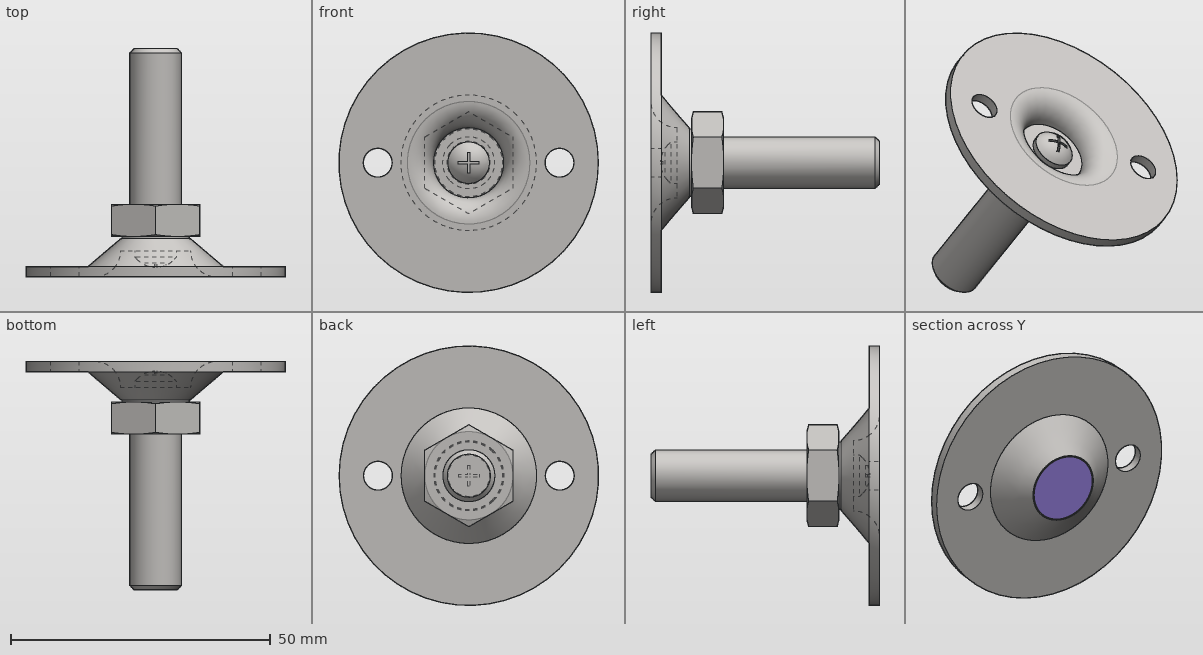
import cadquery as cq
import math

plate_diameter = 50
plate_thickness = 2
mounting_hole_diameter = 5.5
mounting_hole_spacing = 35

hub_base_diameter = 26.1
hub_top_diameter = 13.4
hub_top = 7.4
neck_diameter = 13

nut_width = 17
nut_height = 6.2
nut_start = 7.8
nut_face_diameter = 17
nut_chamfer_angle = 15
nut_end = nut_start + nut_height
nut_corner_diameter = nut_width / math.cos(math.radians(30))

stud_diameter = 10
stud_end = 44
stud_chamfer_length = 0.9
stud_tip_diameter = 8.3

recess_mouth_diameter = 23.6
recess_floor_diameter = 13.5
recess_depth = 5

head_diameter = 8
head_rim_height = 1.15
dome_height = 2
slot_length = 4
slot_width = 0.45
slot_depth = 0.8


def cylinder(diameter, start, end):
    """Solid cylinder on the Y axis between two Y positions."""
    return cq.Workplane("XZ", origin=(0, start, 0)).circle(diameter / 2).extrude(start - end)


def revolved(profile):
    """Turn a closed radius/Y profile around the Y axis."""
    return profile.revolve(360, (0, 0, 0), (0, 1, 0))


def make_hub():
    cone = revolved(
        cq.Workplane("XY")
        .moveTo(0, plate_thickness)
        .lineTo(hub_base_diameter / 2, plate_thickness)
        .lineTo(hub_top_diameter / 2, hub_top)
        .lineTo(0, hub_top)
        .close()
    )
    return cone.union(cylinder(neck_diameter, hub_top, nut_start))


def make_nut():
    prism = (
        cq.Workplane("XZ", origin=(0, nut_start, 0))
        .transformed(rotate=(0, 0, 90))
        .polygon(6, nut_corner_diameter)
        .extrude(-nut_height)
    )
    face_radius = nut_face_diameter / 2
    corner_radius = nut_corner_diameter / 2
    bevel = (corner_radius - face_radius) * math.tan(math.radians(nut_chamfer_angle))
    envelope = revolved(
        cq.Workplane("XY")
        .moveTo(0, nut_start)
        .lineTo(face_radius, nut_start)
        .lineTo(corner_radius, nut_start + bevel)
        .lineTo(corner_radius, nut_end - bevel)
        .lineTo(face_radius, nut_end)
        .lineTo(0, nut_end)
        .close()
    )
    return prism.intersect(envelope)


def make_stud():
    return revolved(
        cq.Workplane("XY")
        .moveTo(0, nut_start)
        .lineTo(stud_diameter / 2, nut_start)
        .lineTo(stud_diameter / 2, stud_end - stud_chamfer_length)
        .lineTo(stud_tip_diameter / 2, stud_end)
        .lineTo(0, stud_end)
        .close()
    )


def make_recess():
    mouth_radius = recess_mouth_diameter / 2
    floor_radius = recess_floor_diameter / 2
    width = mouth_radius - floor_radius
    wall_radius = (width**2 + recess_depth**2) / (2 * recess_depth)
    half_sweep = math.atan2(recess_depth, width)
    wall_middle = (
        mouth_radius - wall_radius * math.sin(half_sweep),
        wall_radius * (1 - math.cos(half_sweep)),
    )
    return revolved(
        cq.Workplane("XY")
        .lineTo(mouth_radius, 0)
        .threePointArc(wall_middle, (floor_radius, recess_depth))
        .lineTo(0, recess_depth)
        .close()
    )


def make_screw_head():
    head_radius = head_diameter / 2
    rim = recess_depth - head_rim_height
    crown = rim - dome_height
    dome_radius = (head_radius**2 + dome_height**2) / (2 * dome_height)
    half_sweep = math.asin(head_radius / dome_radius) / 2
    dome_middle = (
        dome_radius * math.sin(half_sweep),
        crown + dome_radius * (1 - math.cos(half_sweep)),
    )
    head = revolved(
        cq.Workplane("XY")
        .moveTo(0, recess_depth)
        .lineTo(head_radius, recess_depth)
        .lineTo(head_radius, rim)
        .threePointArc(dome_middle, (0, crown))
        .close()
    )
    for angle in (0, 90):
        slot = (
            cq.Workplane("XZ", origin=(0, crown, 0))
            .transformed(rotate=(0, 0, angle))
            .rect(slot_length, slot_width)
            .extrude(-slot_depth)
        )
        head = head.cut(slot)
    return head


mounting_holes = (
    cq.Workplane("XZ")
    .pushPoints([(-mounting_hole_spacing / 2, 0), (mounting_hole_spacing / 2, 0)])
    .circle(mounting_hole_diameter / 2)
    .extrude(-plate_thickness)
)

result = (
    cylinder(plate_diameter, 0, plate_thickness)
    .union(make_hub())
    .union(make_nut())
    .union(make_stud())
    .cut(mounting_holes)
    .cut(make_recess())
    .union(make_screw_head())
)